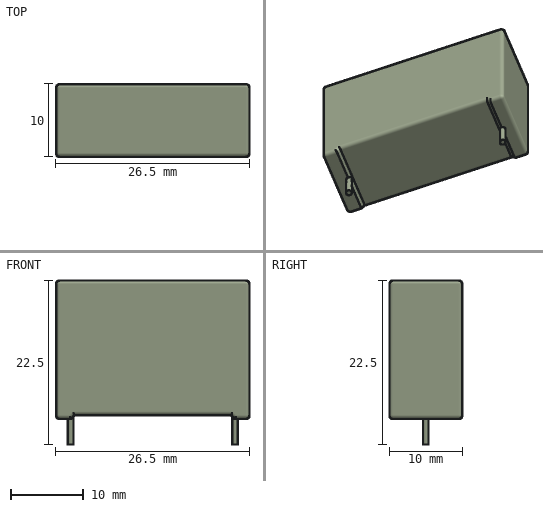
import cadquery as cq

case_length = 26.5
case_depth = 10.0
overall_height = 22.5
lead_length = 3.5
case_height = overall_height - lead_length

edge_radius = 0.5
foot_length = 2.01
recess_height = 0.5

lead_diameter = 0.8
lead_inset = 2.0
lead_embed = 1.32


def make_case():
    """Case standing on two end feet, with its outer edges rounded."""
    half_length = case_length / 2
    foot_end = half_length - foot_length
    recess_end = foot_end - recess_height
    profile = [
        (-half_length, 0),
        (-foot_end, 0),
        (-recess_end, recess_height),
        (recess_end, recess_height),
        (foot_end, 0),
        (half_length, 0),
        (half_length, case_height),
        (-half_length, case_height),
    ]
    block = cq.Workplane("XZ").polyline(profile).close().extrude(case_depth / 2, both=True)
    return block.faces("<Y or >Y or <X or >X").edges().fillet(edge_radius)


def make_lead(x):
    """Round lead hanging below the feet and anchored in the case."""
    return (
        cq.Workplane("XY", origin=(x, 0, -lead_length))
        .circle(lead_diameter / 2)
        .extrude(lead_length + lead_embed)
    )


lead_x = case_length / 2 - lead_inset

result = make_case()
for x in (-lead_x, lead_x):
    result = result.union(make_lead(x))